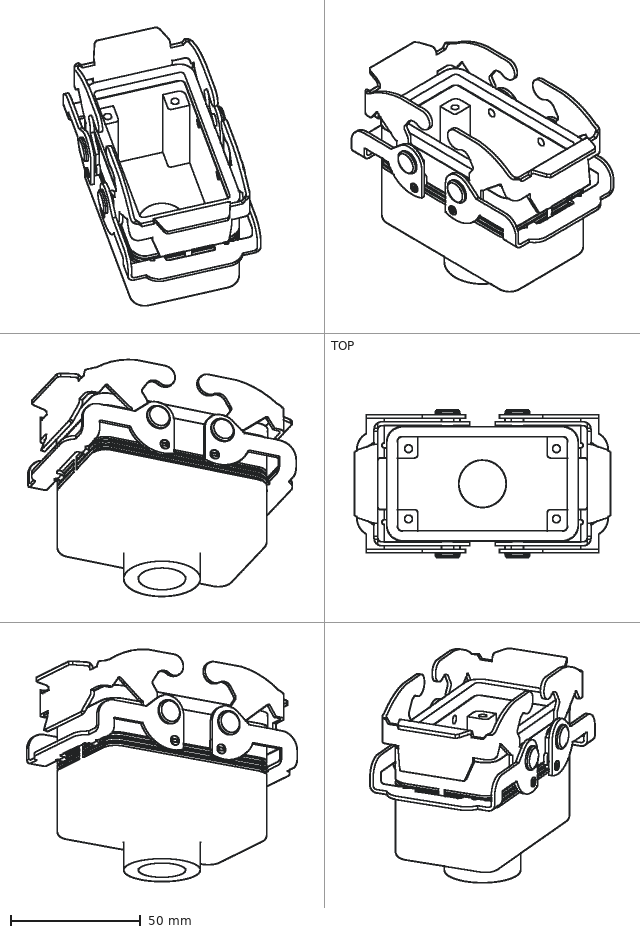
import cadquery as cq
import math

OVERALL_X = 98.97
BODY_X = 73.4
BODY_Y = 43.9
CORNER_R = 6.1
BODY_Z0 = 12.8
BODY_Z1 = 63.7
BOTTOM_R = 2.2

LIP_X = 74.0
LIP_Y = 44.2
LIP_Z0 = 58.5

CAVITY_X = 65.5
CAVITY_Y = 36.3
CAVITY_R = 1.7
CAVITY_RELIEF = 0.3
RELIEF_R = 2.6
FLOOR_THICKNESS = 4.0
FLOOR_Z = BODY_Z0 + FLOOR_THICKNESS

SPOUT_R = 14.8
SPOUT_FILLET = 1.7
BORE_R = 9.1

POST_X = 7.7
POST_Y = 8.2
POST_R = 1.2
POST_SINK = 1.5
POST_Z1 = 52.0
SCREW_X = 28.55
SCREW_Y = 13.55
SCREW_R = 1.5
SCREW_DEPTH = 10.0
SCREW_TIP = 0.9

GROOVE_PITCH = 2.0
GROOVE_TOP_Z = 44.05
GROOVE_COUNT = 3
GROOVE_MOUTH = 1.5
GROOVE_ROOT = 0.9
GROOVE_DEPTH = 0.9
WEB_Y = 2.6

PIN_X = 13.5
PIN_Z = 54.5
PIN_R = 2.4
PIN_TIP_R = 1.65
HEAD_R = 4.75
HEAD_FACE_R = 4.1
HEAD_Y0 = 27.1
HEAD_Y1 = 28.5
PIN_TIP_Y = CAVITY_Y / 2 + CAVITY_RELIEF

STOP_X = 10.5
STOP_Z = 43.6
STOP_R = 1.85
STOP_Y0 = 22.5
STOP_Y1 = 26.95
STOP_SLOT_X = 2.1
STOP_SLOT_Z = 1.2
STOP_SLOT_DEPTH = 0.5

SHEET = 1.5
HOOK_Y1 = 23.95
WALL_X0 = -41.9
WALL_X1 = WALL_X0 + SHEET
HOOK_BEND_R = 3.1
WALL_Z0 = 61.9
WALL_Z1 = 70.1
WALL_EAR_Z = 71.9
WALL_EAR_Y = 20.2
EAR_SLOPE_Y = 1.3

TIP_X = -9.2
TIP_R = 4.3
HOOK_TOP_Z = 79.5
TIP_Z = HOOK_TOP_Z - TIP_R
MOUTH_X = -PIN_X
MOUTH_Z = 68.6
MOUTH_END = 148.0

BACK_FOOT = (WALL_X1, WALL_EAR_Z)
BACK_START = (-38.0, 72.8)
BACK_MIDDLE = (-28.4, 77.9)
BACK_END_X = -21.2
HEEL_TOP = (-18.6, 67.3)
HEEL_TIP = (-18.85, 66.4)
HEEL_BOTTOM = (-18.5, 65.6)
NECK_X0 = -23.0
NECK_X1 = -16.7
NECK_TOP = (-17.3, 63.8)
NECK_BEND = (-16.85, 63.1)
NECK_BEND_Z = 62.3
NECK_Z0 = 59.5
NECK_CHAMFER_Z = 58.0
EYE_SHOULDER = (-9.4, 54.8)
STRUT_END = (-24.2, 58.6)
PEAK = (-33.5, 66.2)
PEAK_FLAT = 0.5
CORNER_X = -37.0

FOOT_X = -7.9
FOOT_Z0 = 44.0
FOOT_Z1 = 48.5
FOOT_R = 1.3
HUB_R = -PIN_X - NECK_X0

HANDLE_END_X = -OVERALL_X / 2
HANDLE_Z1 = 73.2
HANDLE_BEND_R = 2.8
HANDLE_ROOT_Y = 15.3
HANDLE_SHOULDER_Y = 13.1
HANDLE_END_Y = 12.1
HANDLE_CHAMFER_X = 1.2

FLAP_KNEE_Z = 59.8
FLAP_BEND_R = 3.0
FLAP_END_Z = 52.4
FLAP_ANGLE = 24.0
FLAP_ROOT_Y = 15.9
FLAP_END_Y = 13.0
FLAP_CHAMFER = 0.9

FRAME_SHEET = 1.45
FRAME_Y1 = 26.7
FRAME_BEND_R = 2.8
BASE_Z0 = 42.3
LEG_X0 = -44.9
LEG_X1 = -37.9
LEG_Z0 = BASE_Z0 + FRAME_BEND_R
ARM_Z0 = 48.5
ARM_Z1 = 55.5
ARM_CORNER_R = 6.9
ARM_INNER_R = 0.5
EYE_R = 7.0
EYE_TANGENT = 130.0
EYE_Z0 = 40.7
LOBE_MIDDLE = (-17.5, 40.9)
LOBE_END_X = -25.0

TONGUE_X = -48.5
TONGUE_ROOT_Y = 19.4
TONGUE_END_Y = 14.0
TONGUE_SHOULDER = (-47.5, 16.9)
STRIP_INNER_X = -40.4
WINDOW_R = 1.0
TAB_Y0 = 9.9
TAB_Y1 = 13.9
TAB_DROP = 0.9
NOTCH_R = 0.9


def rounded_block(size_x, size_y, radius, z0, z1):
    return (
        cq.Workplane("XY", origin=(0, 0, z0))
        .rect(size_x, size_y)
        .extrude(z1 - z0)
        .edges("|Z")
        .fillet(radius)
    )


def cylinder_y(x, z, radius, y0, y1):
    """Cylinder along +Y between y0 and y1."""
    return cq.Workplane(cq.Solid.makeCylinder(radius, y1 - y0, cq.Vector(x, y0, z), cq.Vector(0, 1, 0)))


def plate_xz(outline, y0, y1):
    """Plate with an outline in X and Z, lying between y0 and y1 (y0 < y1)."""
    return outline(cq.Workplane("XZ", origin=(0, y1, 0))).extrude(y1 - y0)


def both_sides(body):
    return body.union(body.mirror("XZ"))


def groove_ring(z):
    """Ring to cut around the box, with sloping flanks and a flat root, broken by the end webs."""
    mouth = GROOVE_MOUTH / 2
    root = GROOVE_ROOT / 2
    face_y = -BODY_Y / 2
    root_y = face_y + GROOVE_DEPTH
    outside_y = face_y - GROOVE_DEPTH
    path = rounded_block(BODY_X, BODY_Y, CORNER_R, z, BODY_Z1).faces("<Z").wires()
    ring = (
        cq.Workplane("YZ")
        .polyline([
            (outside_y, z - mouth),
            (face_y, z - mouth),
            (root_y, z - root),
            (root_y, z + root),
            (face_y, z + mouth),
            (outside_y, z + mouth),
        ])
        .close()
        .sweep(path, transition="right")
    )
    web = cq.Workplane("XY", origin=(0, 0, z)).box(2 * BODY_X, WEB_Y, 2 * GROOVE_MOUTH)
    return ring.cut(web)


def make_housing():
    box = rounded_block(BODY_X, BODY_Y, CORNER_R, BODY_Z0, BODY_Z1)
    box = box.faces("<Z").edges().fillet(BOTTOM_R)
    lip = rounded_block(LIP_X, LIP_Y, CORNER_R, LIP_Z0, BODY_Z1)
    spout = cq.Workplane("XY").circle(SPOUT_R).extrude(FLOOR_Z)
    spout_root = cq.selectors.NearestToPointSelector((0, 0, BODY_Z0))
    body = box.union(lip).union(spout)
    body = body.edges(spout_root).fillet(SPOUT_FILLET)

    cavity = rounded_block(CAVITY_X, CAVITY_Y, CAVITY_R, FLOOR_Z, BODY_Z1)
    relief_x = CAVITY_X + 2 * CAVITY_RELIEF
    relief_y = CAVITY_Y + 2 * CAVITY_RELIEF
    relief = rounded_block(relief_x, relief_y, RELIEF_R, FLOOR_Z, LIP_Z0)
    body = body.cut(cavity.union(relief))

    for sx in (-1, 1):
        for sy in (-1, 1):
            body = body.union(corner_post(sx, sy))
    bore = cq.Workplane("XY").circle(BORE_R).extrude(BODY_Z1)
    body = body.cut(bore)

    for index in range(GROOVE_COUNT):
        body = body.cut(groove_ring(GROOVE_TOP_Z - index * GROOVE_PITCH))

    for sx in (-1, 1):
        body = body.cut(cylinder_y(sx * PIN_X, PIN_Z, PIN_TIP_R, -LIP_Y, LIP_Y))
    return body


def corner_post(sx, sy):
    """Post in one cavity corner, sunk into the walls, with a blind screw hole."""
    post = (
        cq.Workplane("XY", origin=(0, 0, FLOOR_Z - POST_SINK))
        .center(sx * (CAVITY_X - POST_X + POST_SINK) / 2, sy * (CAVITY_Y - POST_Y + POST_SINK) / 2)
        .rect(POST_X + POST_SINK, POST_Y + POST_SINK)
        .extrude(POST_Z1 - FLOOR_Z + POST_SINK)
        .edges("|Z").edges(cq.selectors.NearestToPointSelector((0, 0, POST_Z1 / 2)))
        .fillet(POST_R)
    )
    start = cq.Vector(sx * SCREW_X, sy * SCREW_Y, POST_Z1)
    down = cq.Vector(0, 0, -1)
    hole = cq.Solid.makeCylinder(SCREW_R, SCREW_DEPTH, start, down)
    tip = cq.Solid.makeCone(SCREW_R, 0, SCREW_TIP, start + down * SCREW_DEPTH, down)
    return post.cut(cq.Workplane(hole)).cut(cq.Workplane(tip))


def on_circle(x, z, radius, degrees):
    angle = math.radians(degrees)
    return (x + radius * math.cos(angle), z + radius * math.sin(angle))


def hook_outline(plane):
    """Side shape of the bracket: cross wall at the left, hook at the upper right, foot below."""
    to_mouth = math.degrees(math.atan2(MOUTH_Z - TIP_Z, MOUTH_X - TIP_X)) % 360
    mouth_r = math.hypot(MOUTH_X - TIP_X, MOUTH_Z - TIP_Z) - TIP_R
    hub_z = FOOT_Z0 + HUB_R
    mouth_middle = (to_mouth - 180 + MOUTH_END) / 2
    return (
        plane.moveTo(WALL_X0, WALL_Z0)
        .lineTo(WALL_X0, WALL_EAR_Z)
        .lineTo(*BACK_FOOT)
        .lineTo(*BACK_START)
        .threePointArc(BACK_MIDDLE, (BACK_END_X, HOOK_TOP_Z))
        .lineTo(TIP_X, HOOK_TOP_Z)
        .threePointArc((TIP_X + TIP_R, TIP_Z), on_circle(TIP_X, TIP_Z, TIP_R, to_mouth))
        .threePointArc(
            on_circle(MOUTH_X, MOUTH_Z, mouth_r, mouth_middle),
            on_circle(MOUTH_X, MOUTH_Z, mouth_r, MOUTH_END),
        )
        .lineTo(*HEEL_TOP)
        .threePointArc(HEEL_TIP, HEEL_BOTTOM)
        .lineTo(*NECK_TOP)
        .threePointArc(NECK_BEND, (NECK_X1, NECK_BEND_Z))
        .lineTo(NECK_X1, NECK_Z0)
        .lineTo(*EYE_SHOULDER)
        .lineTo(FOOT_X - FOOT_R, FOOT_Z1)
        .radiusArc((FOOT_X, FOOT_Z1 - FOOT_R), FOOT_R)
        .lineTo(FOOT_X, FOOT_Z0)
        .lineTo(-PIN_X, FOOT_Z0)
        .threePointArc(on_circle(-PIN_X, hub_z, HUB_R, 225), (NECK_X0, hub_z))
        .lineTo(NECK_X0, NECK_CHAMFER_Z)
        .lineTo(*STRUT_END)
        .lineTo(*PEAK)
        .lineTo(PEAK[0] - PEAK_FLAT, PEAK[1])
        .lineTo(CORNER_X, WALL_Z0)
        .close()
    )


def channel_in_plan(z0, z1):
    """U-shaped bent sheet, open toward the part centre."""
    length = -WALL_X0
    outer = cq.Workplane("XY").box(length, 2 * HOOK_Y1, z1 - z0, centered=(False, True, False))
    outer = outer.edges("|Z and <X").fillet(HOOK_BEND_R)
    inner = cq.Workplane("XY").box(length, 2 * (HOOK_Y1 - SHEET), z1 - z0, centered=(False, True, False))
    inner = inner.edges("|Z and <X").fillet(HOOK_BEND_R - SHEET).translate((SHEET, 0, 0))
    return outer.cut(inner).translate((WALL_X0, 0, z0))


def handle():
    """Tab bent outward from the top of the cross wall."""
    bend_x = WALL_X1 - HANDLE_BEND_R
    bend_z = HANDLE_Z1 - HANDLE_BEND_R
    inner_r = HANDLE_BEND_R - SHEET
    strip = plate_xz(
        lambda plane: plane.moveTo(WALL_X1, WALL_Z1 - SHEET)
        .lineTo(WALL_X1, bend_z)
        .threePointArc(on_circle(bend_x, bend_z, HANDLE_BEND_R, 45), (bend_x, HANDLE_Z1))
        .lineTo(HANDLE_END_X, HANDLE_Z1)
        .lineTo(HANDLE_END_X, HANDLE_Z1 - SHEET)
        .lineTo(bend_x, HANDLE_Z1 - SHEET)
        .threePointArc(on_circle(bend_x, bend_z, inner_r, 45), (WALL_X0, bend_z))
        .lineTo(WALL_X0, WALL_Z1 - SHEET)
        .close(),
        -HANDLE_ROOT_Y,
        HANDLE_ROOT_Y,
    )
    shoulder_x = HANDLE_END_X + HANDLE_CHAMFER_X
    half = [
        (WALL_X1, HANDLE_ROOT_Y),
        (WALL_X0, HANDLE_ROOT_Y),
        (shoulder_x, HANDLE_SHOULDER_Y),
        (HANDLE_END_X, HANDLE_END_Y),
    ]
    outline = half + [(x, -y) for x, y in reversed(half)]
    plan = cq.Workplane("XY", origin=(0, 0, WALL_Z0)).polyline(outline).close().extrude(HANDLE_Z1)
    return strip.intersect(plan)


def flap():
    """Tapered spring flap leaning outward below the cross wall."""
    lean = math.radians(FLAP_ANGLE)
    shift = SHEET * math.tan(lean / 2)
    thick_x = SHEET * math.cos(lean)
    thick_z = SHEET * math.sin(lean)
    run = (FLAP_KNEE_Z - FLAP_END_Z) * math.tan(lean)
    inner_end = (WALL_X1 - run, FLAP_END_Z)
    strip = plate_xz(
        lambda plane: plane.moveTo(WALL_X1, WALL_Z0 + SHEET)
        .lineTo(WALL_X1, FLAP_KNEE_Z)
        .lineTo(*inner_end)
        .lineTo(inner_end[0] - thick_x, inner_end[1] + thick_z)
        .lineTo(WALL_X0, FLAP_KNEE_Z + shift)
        .lineTo(WALL_X0, WALL_Z0 + SHEET)
        .close(),
        -FLAP_ROOT_Y,
        FLAP_ROOT_Y,
    )
    inner_knee = cq.selectors.NearestToPointSelector((WALL_X1, 0, FLAP_KNEE_Z))
    outer_knee = cq.selectors.NearestToPointSelector((WALL_X0, 0, FLAP_KNEE_Z + shift))
    strip = strip.edges("|Y").edges(inner_knee).fillet(FLAP_BEND_R)
    strip = strip.edges("|Y").edges(outer_knee).fillet(FLAP_BEND_R - SHEET)
    taper_end = FLAP_END_Z + FLAP_CHAMFER
    half = [
        (FLAP_ROOT_Y, WALL_Z0 + SHEET),
        (FLAP_ROOT_Y, FLAP_KNEE_Z),
        (FLAP_END_Y + FLAP_CHAMFER, taper_end),
        (FLAP_END_Y, FLAP_END_Z),
    ]
    outline = half + [(-y, z) for y, z in reversed(half)]
    front = cq.Workplane("YZ", origin=(HANDLE_END_X, 0, 0)).polyline(outline).close().extrude(-HANDLE_END_X)
    return strip.intersect(front)


def make_hook_bracket():
    body = channel_in_plan(FOOT_Z0, HOOK_TOP_Z).intersect(plate_xz(hook_outline, -HOOK_Y1, HOOK_Y1))
    ear_y = WALL_EAR_Y + EAR_SLOPE_Y
    dip = (
        cq.Workplane("YZ", origin=(WALL_X0 - SHEET, 0, 0))
        .polyline([
            (-ear_y, HOOK_TOP_Z),
            (-ear_y, WALL_EAR_Z),
            (-WALL_EAR_Y, WALL_Z1),
            (WALL_EAR_Y, WALL_Z1),
            (ear_y, WALL_EAR_Z),
            (ear_y, HOOK_TOP_Z),
        ])
        .close()
        .extrude(3 * SHEET)
    )
    return body.cut(dip).union(handle()).union(flap())


def arm_outline(plane):
    """Side arm: leg at the left, straight arm, eye about the pivot with a lobe below it."""
    run_x, run_z = on_circle(-PIN_X, PIN_Z, EYE_R, EYE_TANGENT)
    arm_end_x = run_x + (run_z - ARM_Z1) * math.tan(math.radians(EYE_TANGENT))
    corner_x = LEG_X0 + ARM_CORNER_R
    corner_z = ARM_Z1 - ARM_CORNER_R
    return (
        plane.moveTo(LEG_X0, LEG_Z0)
        .lineTo(LEG_X0, corner_z)
        .threePointArc(on_circle(corner_x, corner_z, ARM_CORNER_R, 135), (corner_x, ARM_Z1))
        .lineTo(arm_end_x, ARM_Z1)
        .lineTo(run_x, run_z)
        .threePointArc((-PIN_X, PIN_Z + EYE_R), (-PIN_X + EYE_R, PIN_Z))
        .lineTo(-PIN_X + EYE_R, EYE_Z0)
        .threePointArc(LOBE_MIDDLE, (LOBE_END_X, ARM_Z0))
        .lineTo(LEG_X1, ARM_Z0)
        .lineTo(LEG_X1, LEG_Z0)
        .close()
    )


def base_channel():
    """Base strip with its two bent-up ends."""
    length = LEG_X1 - LEG_X0
    inner_y = FRAME_Y1 - FRAME_SHEET
    tall = 2 * FRAME_BEND_R
    outer = cq.Workplane("XY").box(length, 2 * FRAME_Y1, tall, centered=(False, True, False))
    outer = outer.edges("|X and <Z").fillet(FRAME_BEND_R)
    inner = cq.Workplane("XY").box(length, 2 * inner_y, tall, centered=(False, True, False))
    inner = inner.edges("|X and <Z").fillet(FRAME_BEND_R - FRAME_SHEET).translate((0, 0, FRAME_SHEET))
    return outer.cut(inner).translate((LEG_X0, 0, BASE_Z0))


def tongue():
    """Finger grip in front of the base strip, with rounded shoulders."""
    shoulder_x, shoulder_y = TONGUE_SHOULDER
    root_x = LEG_X0 + FRAME_SHEET
    return (
        cq.Workplane("XY", origin=(0, 0, BASE_Z0))
        .moveTo(root_x, TONGUE_ROOT_Y)
        .lineTo(LEG_X0, TONGUE_ROOT_Y)
        .threePointArc((shoulder_x, shoulder_y), (TONGUE_X, TONGUE_END_Y))
        .lineTo(TONGUE_X, -TONGUE_END_Y)
        .threePointArc((shoulder_x, -shoulder_y), (LEG_X0, -TONGUE_ROOT_Y))
        .lineTo(root_x, -TONGUE_ROOT_Y)
        .close()
        .extrude(FRAME_SHEET)
    )


def locating_tab():
    """Tab bent down from the strip until it touches the housing wall."""
    tip_x = -BODY_X / 2
    root_x = LEG_X1 - FRAME_SHEET
    top = BASE_Z0 + FRAME_SHEET
    return plate_xz(
        lambda plane: plane.moveTo(root_x, BASE_Z0)
        .lineTo(LEG_X1, BASE_Z0)
        .lineTo(tip_x, BASE_Z0 - TAB_DROP)
        .lineTo(tip_x, top - TAB_DROP)
        .lineTo(LEG_X1, top)
        .lineTo(root_x, top)
        .close(),
        TAB_Y0,
        TAB_Y1,
    )


def make_frame():
    inner_y = FRAME_Y1 - FRAME_SHEET
    arm = plate_xz(arm_outline, inner_y, FRAME_Y1)
    arm = arm.edges(
        cq.selectors.NearestToPointSelector((LEG_X1, FRAME_Y1 - FRAME_SHEET / 2, ARM_Z0))
    ).fillet(ARM_INNER_R)
    window = (
        cq.Workplane("XY")
        .box(-STRIP_INNER_X, 2 * TAB_Y0, FRAME_SHEET, centered=(False, True, False))
        .edges("|Z and <X").fillet(WINDOW_R)
        .translate((STRIP_INNER_X, 0, BASE_Z0))
    )
    notch = (
        cq.Workplane("XY", origin=(0, 0, BASE_Z0))
        .center(LEG_X1, TAB_Y1 + NOTCH_R)
        .circle(NOTCH_R)
        .extrude(FRAME_SHEET)
    )
    strip = base_channel().union(tongue()).cut(window).cut(both_sides(notch))
    return strip.union(both_sides(arm)).union(both_sides(locating_tab()))


def pivot_pin():
    """Stepped headed pin on the +Y side, its thin end in the housing wall."""
    chamfer = HEAD_R - HEAD_FACE_R
    return (
        cq.Workplane("XY")
        .polyline([
            (0, PIN_TIP_Y),
            (PIN_TIP_R, PIN_TIP_Y),
            (PIN_TIP_R, BODY_Y / 2),
            (PIN_R, BODY_Y / 2),
            (PIN_R, HEAD_Y0),
            (HEAD_R, HEAD_Y0),
            (HEAD_R, HEAD_Y1 - chamfer),
            (HEAD_FACE_R, HEAD_Y1),
            (0, HEAD_Y1),
        ])
        .close()
        .revolve(360, (0, 0, 0), (0, 1, 0))
        .translate((-PIN_X, 0, PIN_Z))
    )


def stop_stud():
    return cylinder_y(-STOP_X, STOP_Z, STOP_R, STOP_Y0, STOP_Y1)


def stud_slot():
    slot = cq.Workplane("XY").box(STOP_SLOT_X, 2 * STOP_SLOT_DEPTH, STOP_SLOT_Z)
    return slot.translate((-STOP_X, STOP_Y1, STOP_Z))


def make_lever():
    """Complete left lever: frame, hook bracket, pins and studs joined."""
    body = make_frame().union(make_hook_bracket())
    body = body.union(both_sides(pivot_pin())).union(both_sides(stop_stud()))
    return body.cut(both_sides(stud_slot()))


housing = make_housing()
left_lever = make_lever()
right_lever = left_lever.mirror("YZ")

result = cq.Compound.makeCompound([housing.val(), left_lever.val(), right_lever.val()])